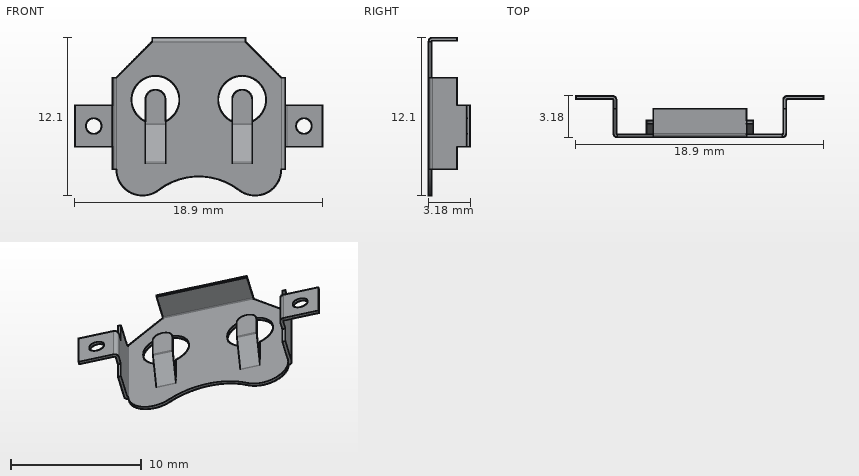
import cadquery as cq
import math


sheet = 0.25
flange_bend = 0.05
spring_bend = 0.1
flange_fold = sheet + flange_bend

length = 18.92
depth = 3.18
height = 12.07

side_outer_x = 6.6
side_bottom_z = 2.0
side_top_z = 9.0
top_flange_width = 7.13
flange_depth = 2.2

tab_height = 3.2
tab_center_z = 5.32
tab_hole_x = 8.02
tab_hole_diameter = 1.17

plate_half_width = side_outer_x - flange_fold
plate_top_z = height - flange_fold
lobe_radius = side_bottom_z
valley_z = 1.45

tongue_x = 3.31
tongue_width = 1.55
window_radius = 1.82
window_z = 7.32
tongue_foot_z = 2.52
tongue_kink_z = 5.45
tongue_back_y = 1.3


def bent_strip(path_points, bend_radius, width_direction, width):
    """Sweep the sheet section along a path of sheet mid-line points with rounded bends.

    Paths that leave the plate start a little inside it, so that the sheets overlap.
    """
    points = [cq.Vector(*point) for point in path_points]
    path = cq.Wire.makePolygon(points).fillet(bend_radius + sheet / 2)
    start_plane = cq.Plane(points[0], xDir=width_direction, normal=points[1] - points[0])
    return cq.Workplane(start_plane).rect(width, sheet).sweep(cq.Workplane(path))


def plate():
    """Flat plate with sloped shoulders and two round lobes joined by a tangent valley."""
    lobe_x = plate_half_width - lobe_radius
    lobe_z = lobe_radius
    rise = lobe_z - valley_z
    valley_radius = (lobe_x**2 + rise**2 - lobe_radius**2) / (2 * (lobe_radius - rise))
    share = lobe_radius / (lobe_radius + valley_radius)
    joint_x = lobe_x * (1 - share)
    joint_z = lobe_z - share * (rise + valley_radius)
    shoulder_x = top_flange_width / 2
    return (
        cq.Workplane("XZ")
        .moveTo(-shoulder_x, plate_top_z)
        .lineTo(shoulder_x, plate_top_z)
        .lineTo(plate_half_width, side_top_z)
        .lineTo(plate_half_width, lobe_z)
        .threePointArc((lobe_x, 0), (joint_x, joint_z))
        .threePointArc((0, valley_z), (-joint_x, joint_z))
        .threePointArc((-lobe_x, 0), (-plate_half_width, lobe_z))
        .lineTo(-plate_half_width, side_top_z)
        .close()
        .extrude(-sheet)
    )


def top_flange():
    flange_z = height - sheet / 2
    path = [
        (0, sheet / 2, plate_top_z - sheet),
        (0, sheet / 2, flange_z),
        (0, flange_depth, flange_z),
    ]
    return bent_strip(path, flange_bend, (1, 0, 0), top_flange_width)


def side_flange(side):
    """Side flange with its outward solder tab; side is -1 or +1."""
    wall_x = side * (side_outer_x - sheet / 2)
    flange_z = (side_bottom_z + side_top_z) / 2
    flange_path = [
        (side * (plate_half_width - sheet), sheet / 2, flange_z),
        (wall_x, sheet / 2, flange_z),
        (wall_x, flange_depth, flange_z),
    ]
    flange = bent_strip(flange_path, flange_bend, (0, 0, 1), side_top_z - side_bottom_z)

    tab_y = depth - sheet / 2
    tab_path = [
        (wall_x, flange_depth / 2, tab_center_z),
        (wall_x, tab_y, tab_center_z),
        (side * length / 2, tab_y, tab_center_z),
    ]
    tab = bent_strip(tab_path, spring_bend, (0, 0, 1), tab_height)
    hole = (
        cq.Workplane("XZ")
        .center(side * tab_hole_x, tab_center_z)
        .circle(tab_hole_diameter / 2)
        .extrude(-depth)
    )
    return flange.union(tab.cut(hole))


tongue_mid_y = tongue_back_y - sheet / 2
tongue_lean = math.atan2(tongue_mid_y - sheet / 2, tongue_kink_z - tongue_foot_z)
slot_bottom_z = tongue_foot_z - (spring_bend + sheet / 2) * math.tan(tongue_lean / 2)
tongue_top_z = window_z + tongue_width / 2


def window(x):
    """Keyhole opening: a round window with the tongue slot below it."""
    circle = cq.Workplane("XZ").center(x, window_z).circle(window_radius).extrude(-sheet)
    slot_height = window_z - slot_bottom_z
    slot = (
        cq.Workplane("XZ")
        .center(x, slot_bottom_z + slot_height / 2)
        .rect(tongue_width, slot_height)
        .extrude(-sheet)
    )
    return circle.union(slot)


def tongue(x):
    """Spring tongue rooted in the plate below its slot, with a full round tip."""
    root_z = slot_bottom_z - sheet
    path = [
        (x, sheet / 2, root_z),
        (x, sheet / 2, tongue_foot_z),
        (x, tongue_mid_y, tongue_kink_z),
        (x, tongue_mid_y, tongue_top_z),
    ]
    strip = bent_strip(path, spring_bend, (1, 0, 0), tongue_width)
    tip_outline = (
        cq.Workplane("XZ")
        .moveTo(x - tongue_width / 2, root_z)
        .lineTo(x + tongue_width / 2, root_z)
        .lineTo(x + tongue_width / 2, window_z)
        .threePointArc((x, tongue_top_z), (x - tongue_width / 2, window_z))
        .close()
        .extrude(-depth)
    )
    return strip.intersect(tip_outline)


body = plate().union(top_flange())
for side in (-1, 1):
    body = body.union(side_flange(side))
    body = body.cut(window(side * tongue_x))
    body = body.union(tongue(side * tongue_x))

result = body